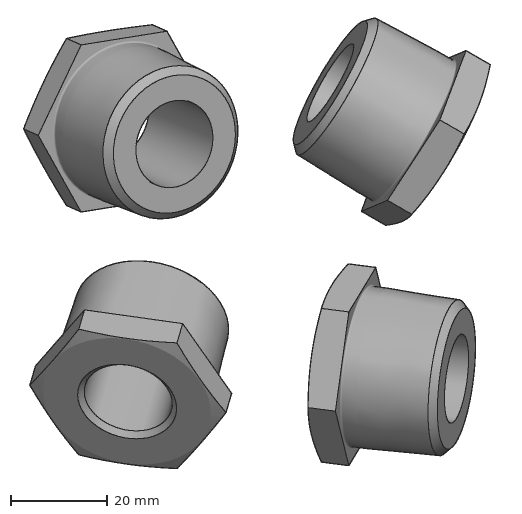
import cadquery as cq
import math

total_length = 27.0
corner_diameter = 41.55

head_length = 6.75
head_face_diameter = 35.55
head_chamfer_angle = 15.0

shank_radius = 33.65 / 2
collar_length = 3.55
taper_ratio = 1 / 16
end_chamfer = 1.6
root_fillet = 0.37

bore_radius = 18.62 / 2
countersink_depth = 1.15
countersink_radius = bore_radius + countersink_depth


def revolve_about_axis(outline):
    """Revolve a closed outline, drawn in the XZ plane, about the X axis."""
    return outline.close().revolve(360, (0, 0, 0), (1, 0, 0))


def hex_head():
    """Hexagon with flats facing +Z and -Z, its corners chamfered by a cone at the outer face."""
    corner_radius = corner_diameter / 2
    face_radius = head_face_diameter / 2
    chamfer_length = (corner_radius - face_radius) * math.tan(math.radians(head_chamfer_angle))
    hexagon = cq.Workplane("YZ").polygon(6, corner_diameter).extrude(head_length)
    turned_blank = revolve_about_axis(
        cq.Workplane("XZ")
        .lineTo(0, face_radius)
        .lineTo(chamfer_length, corner_radius)
        .lineTo(head_length, corner_radius)
        .lineTo(head_length, 0)
    )
    return hexagon.intersect(turned_blank)


def shank():
    """Collar with a root fillet against the head, then the tapered length and end chamfer."""
    taper_start = head_length + collar_length
    taper_end = total_length - end_chamfer
    taper_end_radius = shank_radius - (taper_end - taper_start) * taper_ratio / 2
    return revolve_about_axis(
        cq.Workplane("XZ")
        .moveTo(head_length, 0)
        .lineTo(head_length, shank_radius + root_fillet)
        .radiusArc((head_length + root_fillet, shank_radius), -root_fillet)
        .lineTo(taper_start, shank_radius)
        .lineTo(taper_end, taper_end_radius)
        .lineTo(total_length, taper_end_radius - end_chamfer)
        .lineTo(total_length, 0)
    )


def bore():
    """Through bore, countersunk at the hex face."""
    return revolve_about_axis(
        cq.Workplane("XZ")
        .lineTo(0, countersink_radius)
        .lineTo(countersink_depth, bore_radius)
        .lineTo(total_length, bore_radius)
        .lineTo(total_length, 0)
    )


result = hex_head().union(shank()).cut(bore())